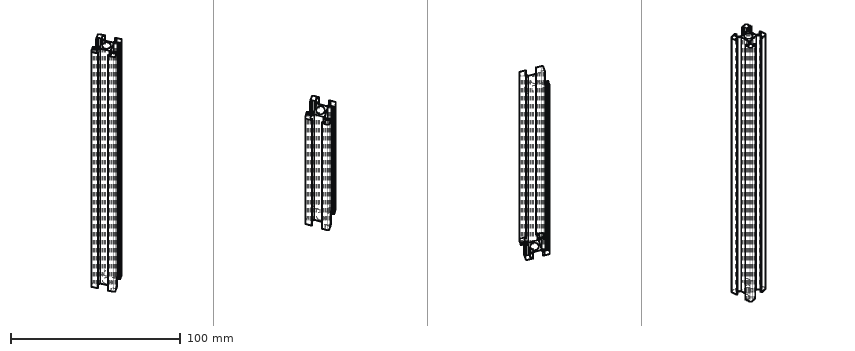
import cadquery as cq

LENGTH = 210.0
SIZE = 15.0
CORNER_RADIUS = 1.0
SLOT_OPENING = 6.2
LIP_THICKNESS = 1.0
CORNER_BLOCK = 3.0
CORE_SIZE = 7.0
BORE_DIAMETER = 5.0
WEB_THICKNESS = 1.0

HALF = SIZE / 2
CORNER_COUNT = 4
CORNER_SPACING = 360.0 / CORNER_COUNT


def turned_about_axis(body, angle):
    """Copy of the body turned about the Z axis by an angle in degrees."""
    return body.rotate((0, 0, 0), (0, 0, 1), angle)


def corner():
    """Corner block in the +X +Y quadrant with its two slot lips."""
    lip_edge = SLOT_OPENING / 2
    lip_face = HALF - LIP_THICKNESS
    block_face = HALF - CORNER_BLOCK
    outline = [
        (HALF, HALF),
        (lip_edge, HALF),
        (lip_edge, lip_face),
        (block_face, lip_face),
        (block_face, block_face),
        (lip_face, block_face),
        (lip_face, lip_edge),
        (HALF, lip_edge),
    ]
    block = cq.Workplane("XY").polyline(outline).close().extrude(LENGTH)
    return block.edges("|Z and >(1, 1, 0)").fillet(CORNER_RADIUS)


def web():
    """Diagonal web from the section centre into the +X +Y corner block."""
    block_centre = HALF - CORNER_BLOCK / 2
    reach = block_centre * 2 ** 0.5
    flat = cq.Workplane("XY").center(reach / 2, 0).rect(reach, WEB_THICKNESS).extrude(LENGTH)
    return turned_about_axis(flat, CORNER_SPACING / 2)


def profile():
    """Square core with four webbed corners and a central bore."""
    body = cq.Workplane("XY").rect(CORE_SIZE, CORE_SIZE).extrude(LENGTH)
    arm = corner().union(web())
    for index in range(CORNER_COUNT):
        body = body.union(turned_about_axis(arm, index * CORNER_SPACING))
    bore = cq.Workplane("XY").circle(BORE_DIAMETER / 2).extrude(LENGTH)
    return body.cut(bore)


result = profile()